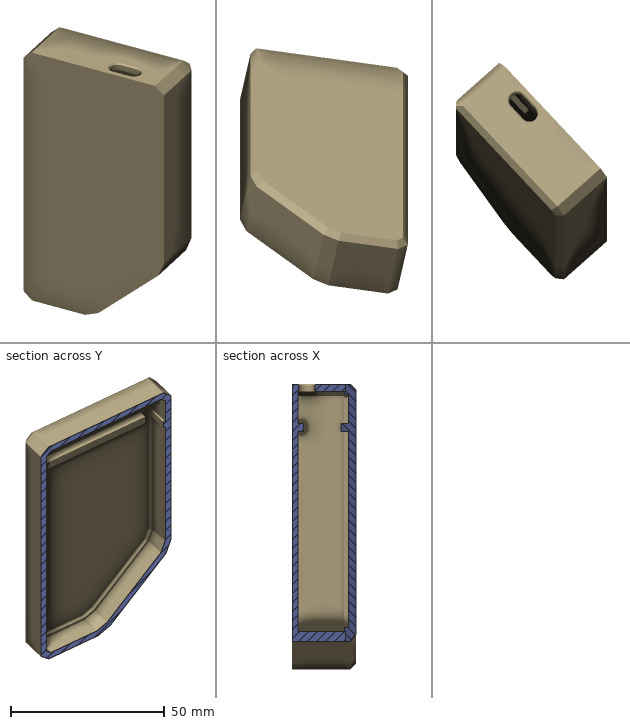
import cadquery as cq

WIDTH = 52.2
DEPTH = 21.0
HEIGHT = 93.3

CORNER_X = 3.2
CORNER_Z = 2.8
BOTTOM_END_X = 22.95
SLOPE_LOW = (27.9, 2.05)
SLOPE_HIGH = (50.1, 22.2)
SIDE_END_Z = 27.4

LID_THICKNESS = 3.5
TRAY_DEPTH = DEPTH - LID_THICKNESS
WALL = 2.5
FLOOR = 2.0
INNER_RIGHT = WIDTH - WALL

LID_CHAMFER = 2.0
LID_PLATE = 2.6
LIP_WIDTH = 0.9
LIP_DEPTH = 0.4
POCKET_Y = DEPTH - LID_PLATE
LIP_Y = TRAY_DEPTH - LIP_DEPTH
LIP_INSET = WALL + LIP_WIDTH

PORT_X = 35.4
PORT_Y = 4.8
PORT_LENGTH = 11.2
PORT_HEIGHT = 5.2
PORT_CHAMFER = 0.5

RIB_TOP = 80.5
RIB_HEIGHT = 2.8
FLOOR_RIB_LEFT = 35.7
FLOOR_RIB_Y = 3.8
WALL_RIB_WIDTH = 0.65
WALL_RIB_LEFT = INNER_RIGHT - WALL_RIB_WIDTH
LID_RIB_RIGHT = 45.5
LID_RIB_Y = 15.9


def case_plate(start_y, end_y, inset=0, cut_top_right=True):
    """Solid with the bevelled case outline, moved inward by inset, from start_y to end_y."""
    if cut_top_right:
        top_right = [(WIDTH, HEIGHT - CORNER_Z), (WIDTH - CORNER_X, HEIGHT)]
    else:
        top_right = [(WIDTH, HEIGHT)]
    points = [
        (CORNER_X, 0),
        (BOTTOM_END_X, 0),
        SLOPE_LOW,
        SLOPE_HIGH,
        (WIDTH, SIDE_END_Z),
        *top_right,
        (CORNER_X, HEIGHT),
        (0, HEIGHT - CORNER_Z),
        (0, CORNER_Z),
    ]
    profile = cq.Workplane("XZ", origin=(0, start_y, 0)).polyline(points).close()
    if inset:
        profile = profile.offset2D(-inset, "intersection")
    return profile.extrude(start_y - end_y)


def rib(left, right, start_y, end_y):
    """Straight rib whose upper face lies at RIB_TOP."""
    block = cq.Workplane("XY").box(right - left, end_y - start_y, RIB_HEIGHT, centered=False)
    return block.translate((left, start_y, RIB_TOP - RIB_HEIGHT))


def make_port():
    """Cutter for the rounded port with a chamfered outer rim."""
    slot = (
        cq.Workplane("XY", origin=(PORT_X, PORT_Y, HEIGHT - WALL))
        .slot2D(PORT_LENGTH, PORT_HEIGHT)
        .extrude(WALL + PORT_CHAMFER)
    )
    flare = (
        cq.Workplane("XY", origin=(PORT_X, PORT_Y, HEIGHT + PORT_CHAMFER))
        .slot2D(PORT_LENGTH + 4 * PORT_CHAMFER, PORT_HEIGHT + 4 * PORT_CHAMFER)
        .extrude(-2 * PORT_CHAMFER, taper=45)
    )
    return slot.union(flare)


def make_tray():
    cavity = case_plate(FLOOR, TRAY_DEPTH, WALL)
    floor_rib = rib(FLOOR_RIB_LEFT, INNER_RIGHT, FLOOR, FLOOR_RIB_Y)
    wall_rib = rib(WALL_RIB_LEFT, INNER_RIGHT, FLOOR, LIP_Y)
    cavity = cavity.cut(floor_rib).cut(wall_rib)
    return case_plate(0, TRAY_DEPTH).cut(cavity).cut(make_port())


def make_lid():
    lid = case_plate(TRAY_DEPTH, DEPTH, cut_top_right=False).faces(">Y").chamfer(LID_CHAMFER)
    lid = lid.intersect(case_plate(TRAY_DEPTH, DEPTH))
    lip = case_plate(LIP_Y, TRAY_DEPTH, WALL)
    pocket = case_plate(LIP_Y, POCKET_Y, LIP_INSET)
    lid_rib = rib(LIP_INSET, LID_RIB_RIGHT, LID_RIB_Y, POCKET_Y)
    return lid.union(lip).cut(pocket).union(lid_rib)


tray = make_tray()
lid = make_lid()
result = cq.Compound.makeCompound([tray.val(), lid.val()])